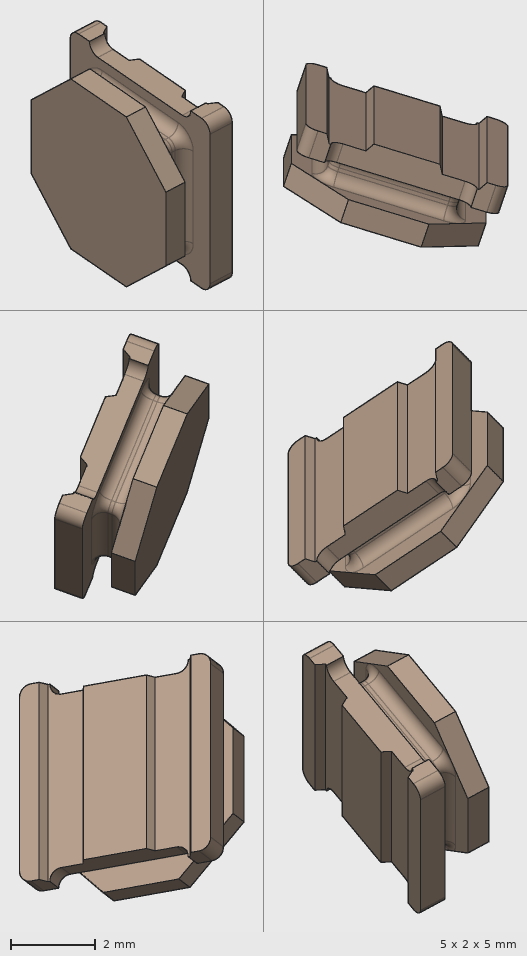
import cadquery as cq
import math

width = 5.0
depth = 2.0
front_y = -depth / 2
back_y = depth / 2

octagon_width = 4.82
octagon_thickness = 0.6
octagon_chamfer = 1.415

base_thickness = 0.7
base_corner_radius = 0.3
notch_inset = 0.69
notch_depth = 0.3

core_width = 3.2
core_corner_radius = 0.24
core_fillet = 0.3

channel_center = 1.4
channel_floor_width = 0.91
channel_depth = 0.22
channel_wall_angle = 60.0

selection_margin = 0.05

octagon_back_y = front_y + octagon_thickness
base_front_y = back_y - base_thickness


def block(size_x, size_z, start_y, end_y):
    """Box centred on the Y axis, spanning start_y to end_y."""
    middle_y = (start_y + end_y) / 2
    return cq.Workplane("XY").box(size_x, end_y - start_y, size_z).translate((0, middle_y, 0))


def octagon_flange():
    plate = block(octagon_width, width, front_y, octagon_back_y)
    return plate.edges("|Y").chamfer(octagon_chamfer)


def edge_notch():
    """Cutter for the top edge: a shallow recess with quarter-round ends."""
    half = width / 2 - notch_inset
    top = width / 2
    floor = top - notch_depth
    diagonal = notch_depth * math.sqrt(0.5)
    round_center = half - notch_depth
    return (
        cq.Workplane("XZ", origin=(0, back_y, 0))
        .moveTo(-half, top)
        .threePointArc((-round_center - diagonal, top - diagonal), (-round_center, floor))
        .lineTo(round_center, floor)
        .threePointArc((round_center + diagonal, top - diagonal), (half, top))
        .close()
        .extrude(base_thickness)
    )


def channel(center_x):
    """Trapezoidal cutter running the full height of the back face."""
    floor_half = channel_floor_width / 2
    mouth_half = floor_half + channel_depth / math.tan(math.radians(channel_wall_angle))
    floor_y = back_y - channel_depth
    return (
        cq.Workplane("XY")
        .polyline([
            (center_x - mouth_half, back_y),
            (center_x - floor_half, floor_y),
            (center_x + floor_half, floor_y),
            (center_x + mouth_half, back_y),
        ])
        .close()
        .extrude(width / 2, both=True)
    )


def base_flange():
    plate = block(width, width, base_front_y, back_y)
    plate = plate.edges("|Y").fillet(base_corner_radius)
    notch = edge_notch()
    plate = plate.cut(notch).cut(notch.mirror("XY"))
    for side in (-1, 1):
        plate = plate.cut(channel(side * channel_center))
    return plate


def spool():
    """Both flanges joined by the core, with fillets where the core meets them."""
    core = block(core_width, core_width, octagon_back_y, base_front_y)
    core = core.edges("|Y").fillet(core_corner_radius)
    body = core.union(octagon_flange()).union(base_flange())
    reach = core_width / 2 + selection_margin
    for joint_y in (octagon_back_y, base_front_y):
        joint = cq.selectors.BoxSelector(
            (-reach, joint_y - selection_margin, -reach),
            (reach, joint_y + selection_margin, reach),
        )
        body = body.edges(joint).fillet(core_fillet)
    return body


result = spool()